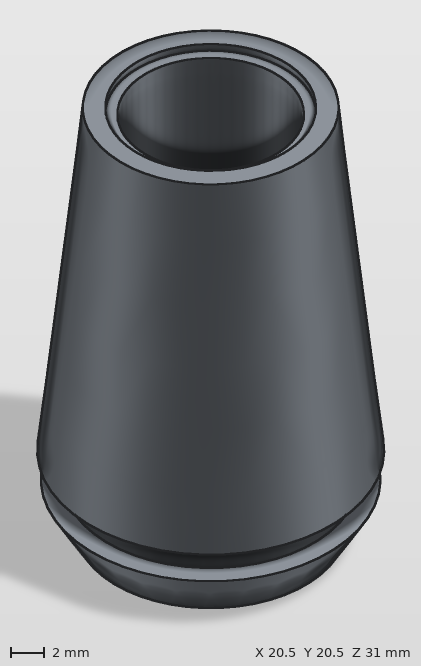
import cadquery as cq

total_length = 31.0
nose_top = 3.5
groove_top = 5.65

nose_bottom_radius = 8.03
nose_top_radius = 10.05
groove_radius = 8.75
taper_large_radius = 10.25
taper_small_radius = 7.55

bore_radius = 5.52
counterbore_radius = 6.23
counterbore_depth = 0.5


def make_body():
    """Revolve the nose cone, extraction groove and long taper about Z."""
    half_profile = (
        cq.Workplane("XZ")
        .moveTo(0, 0)
        .lineTo(nose_bottom_radius, 0)
        .lineTo(nose_top_radius, nose_top)
        .lineTo(groove_radius, nose_top)
        .lineTo(groove_radius, groove_top)
        .lineTo(taper_large_radius, groove_top)
        .lineTo(taper_small_radius, total_length)
        .lineTo(0, total_length)
        .close()
    )
    return half_profile.revolve(360, (0, 0, 0), (0, 1, 0))


def make_bore():
    """Straight through bore widened by the counterbore at the top."""
    through_bore = cq.Workplane("XY").circle(bore_radius).extrude(total_length)
    counterbore = (
        cq.Workplane("XY")
        .workplane(offset=total_length - counterbore_depth)
        .circle(counterbore_radius)
        .extrude(counterbore_depth)
    )
    return through_bore.union(counterbore)


result = make_body().cut(make_bore())